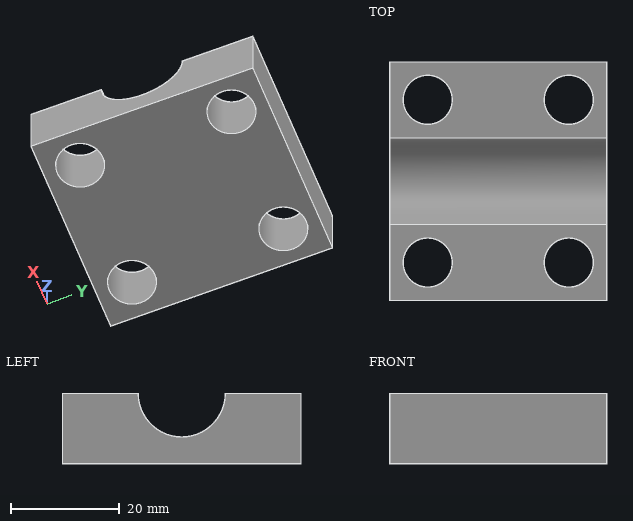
import cadquery as cq

length = 40.0
width = 44.0
height = 13.0
groove_diameter = 16.0
hole_diameter = 9.0
hole_edge_distance = 7.0

hole_spacing_x = length - 2 * hole_edge_distance
hole_spacing_y = width - 2 * hole_edge_distance


def make_block():
    """Rectangular block centred in X and Y, standing on Z = 0."""
    return cq.Workplane("XY").box(length, width, height, centered=(True, True, False))


def cut_groove(body):
    """Cut the half-round groove along the full X length of the top face."""
    groove = (
        cq.Workplane("YZ", origin=(-length / 2, 0, height))
        .circle(groove_diameter / 2)
        .extrude(length)
    )
    return body.cut(groove)


def cut_bolt_holes(body):
    """Cut the four through holes, one near each corner."""
    holes = (
        cq.Workplane("XY")
        .rect(hole_spacing_x, hole_spacing_y, forConstruction=True)
        .vertices()
        .circle(hole_diameter / 2)
        .extrude(height)
    )
    return body.cut(holes)


block = make_block()
grooved_block = cut_groove(block)
result = cut_bolt_holes(grooved_block)